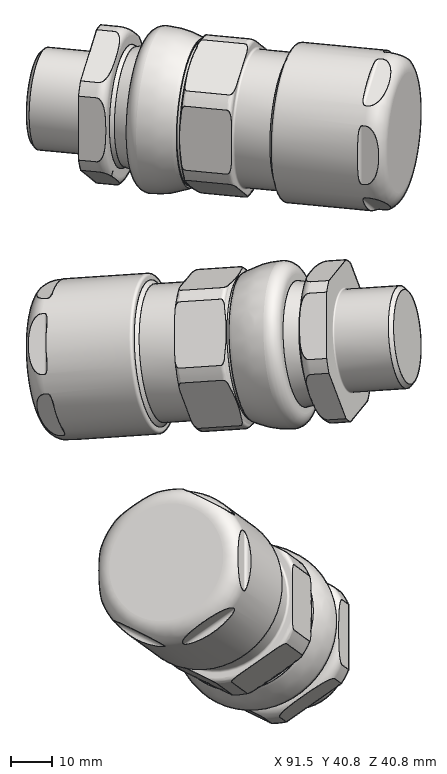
import cadquery as cq
import math


overall_length = 91.5

hex_across_flats = 36.0
hex_corner_diameter = 39.5
hex_sides = 6
hex_point_diameter = hex_across_flats / math.cos(math.pi / hex_sides)
hex_corner_radius = hex_corner_diameter / 2
flat_radius = hex_across_flats / 2

stud_radius = 25.0 / 2
stud_chamfer = 1.0
stud_base_fillet = 0.4
entry_hex_start = 14.9
entry_hex_end = 21.9
entry_hex_rounding = 2.5
groove_radius = 29.3 / 2
groove_start_radius = 30.2 / 2
groove_x = 23.0
shank_radius = 30.75 / 2

seal_start = 26.7
seal_end = 39.5
seal_max_radius = 40.8 / 2
seal_shoulder_rounding = 3.4
seal_back_x = 38.7
seal_back_radius = 18.6
seal_end_radius = 18.2

collar_radius = 17.8
middle_hex_start = 40.2
middle_hex_end = 53.3
middle_face_x = 40.6
middle_front_rounding = 1.0
middle_back_rounding = 1.1
neck_radius = 33.7 / 2
neck_base_fillet = 0.55

nut_start = 62.6
nut_lip_length = 0.9
nut_lip_rise = 1.0
nut_radius = 39.0 / 2
nut_front_rounding = 0.7
nut_end_rounding = 4.8
nut_flat_start = 85.3
nut_flat_runout = 0.8
cut_clearance = 0.9


def revolve_about_x(profile):
    """Close an outline of (x, radius) points and revolve it about the X axis."""
    return profile.close().revolve(360, (0, 0, 0), (1, 0, 0))


def arc_middle(center, radius, angle):
    """Point on a circle at an angle in degrees, used as the middle of an arc."""
    turn = math.radians(angle)
    return (center[0] + radius * math.cos(turn), center[1] + radius * math.sin(turn))


def hex_prism(start, end):
    """Sharp hexagonal prism along X with flats facing +Y and -Y."""
    return (
        cq.Workplane("YZ", origin=(start, 0, 0))
        .transformed(rotate=(0, 0, 90))
        .polygon(hex_sides, hex_point_diameter)
        .extrude(end - start)
    )


def make_entry_body():
    base_x = entry_hex_start - stud_base_fillet
    base_center = (base_x, stud_radius + stud_base_fillet)
    stud = revolve_about_x(
        cq.Workplane("XY")
        .moveTo(0, 0)
        .lineTo(0, stud_radius - stud_chamfer)
        .lineTo(stud_chamfer, stud_radius)
        .lineTo(base_x, stud_radius)
        .threePointArc(
            arc_middle(base_center, stud_base_fillet, -45),
            (entry_hex_start, stud_radius + stud_base_fillet),
        )
        .lineTo(entry_hex_start, 0)
    )

    rounding_center = (entry_hex_end - entry_hex_rounding, hex_corner_radius - entry_hex_rounding)
    hex_envelope = revolve_about_x(
        cq.Workplane("XY")
        .moveTo(entry_hex_start, 0)
        .lineTo(entry_hex_start, hex_corner_radius)
        .lineTo(rounding_center[0], hex_corner_radius)
        .threePointArc(
            arc_middle(rounding_center, entry_hex_rounding, 45),
            (entry_hex_end, rounding_center[1]),
        )
        .lineTo(entry_hex_end, 0)
    )
    hexagon = hex_prism(entry_hex_start, entry_hex_end).intersect(hex_envelope)

    shank = revolve_about_x(
        cq.Workplane("XY")
        .moveTo(entry_hex_end, 0)
        .lineTo(entry_hex_end, groove_start_radius)
        .lineTo(groove_x, groove_radius)
        .lineTo(seal_start, shank_radius)
        .lineTo(seal_end, shank_radius)
        .lineTo(seal_end, 0)
    )
    return stud.union(hexagon).union(shank)


def make_seal():
    shoulder_center = (seal_start + seal_shoulder_rounding, seal_max_radius - seal_shoulder_rounding)
    return revolve_about_x(
        cq.Workplane("XY")
        .moveTo(seal_start, shank_radius)
        .lineTo(seal_start, shoulder_center[1])
        .threePointArc(
            arc_middle(shoulder_center, seal_shoulder_rounding, 135),
            (shoulder_center[0], seal_max_radius),
        )
        .tangentArcPoint((seal_back_x, seal_back_radius), relative=False)
        .lineTo(seal_end, seal_end_radius)
        .lineTo(seal_end, shank_radius)
    )


def make_middle_body():
    collar = (
        cq.Workplane("YZ", origin=(seal_end, 0, 0))
        .circle(collar_radius)
        .extrude(middle_hex_end - seal_end)
    )

    front_center = (middle_face_x + middle_front_rounding, hex_corner_radius - middle_front_rounding)
    back_center = (middle_hex_end - middle_back_rounding, hex_corner_radius - middle_back_rounding)
    hex_envelope = revolve_about_x(
        cq.Workplane("XY")
        .moveTo(middle_hex_start, 0)
        .lineTo(middle_hex_start, collar_radius)
        .lineTo(middle_face_x, front_center[1])
        .threePointArc(
            arc_middle(front_center, middle_front_rounding, 135),
            (front_center[0], hex_corner_radius),
        )
        .lineTo(back_center[0], hex_corner_radius)
        .threePointArc(
            arc_middle(back_center, middle_back_rounding, 45),
            (middle_hex_end, back_center[1]),
        )
        .lineTo(middle_hex_end, 0)
    )
    hexagon = hex_prism(middle_hex_start, middle_hex_end).intersect(hex_envelope)

    base_center = (middle_hex_end + neck_base_fillet, neck_radius + neck_base_fillet)
    neck = revolve_about_x(
        cq.Workplane("XY")
        .moveTo(middle_hex_end, 0)
        .lineTo(middle_hex_end, base_center[1])
        .threePointArc(
            arc_middle(base_center, neck_base_fillet, 225),
            (base_center[0], neck_radius),
        )
        .lineTo(nut_start, neck_radius)
        .lineTo(nut_start, 0)
    )
    return collar.union(hexagon).union(neck)


def make_nut_flat_cutter():
    """Slab beyond one flat at the closed end of the nut, with a rounded run-out."""
    clear_radius = nut_radius + cut_clearance
    runout_center = (nut_flat_start + nut_flat_runout, flat_radius + nut_flat_runout)
    return (
        cq.Workplane("XY")
        .moveTo(nut_flat_start, clear_radius)
        .lineTo(nut_flat_start, runout_center[1])
        .threePointArc(
            arc_middle(runout_center, nut_flat_runout, 225),
            (runout_center[0], flat_radius),
        )
        .lineTo(overall_length, flat_radius)
        .lineTo(overall_length, clear_radius)
        .close()
        .extrude(nut_radius, both=True)
    )


def make_back_nut():
    face_x = nut_start + nut_lip_length
    front_center = (face_x + nut_front_rounding, nut_radius - nut_front_rounding)
    end_center = (overall_length - nut_end_rounding, nut_radius - nut_end_rounding)
    nut = revolve_about_x(
        cq.Workplane("XY")
        .moveTo(nut_start, 0)
        .lineTo(nut_start, neck_radius)
        .lineTo(face_x, neck_radius + nut_lip_rise)
        .lineTo(face_x, front_center[1])
        .threePointArc(
            arc_middle(front_center, nut_front_rounding, 135),
            (front_center[0], nut_radius),
        )
        .lineTo(end_center[0], nut_radius)
        .threePointArc(
            arc_middle(end_center, nut_end_rounding, 45),
            (overall_length, end_center[1]),
        )
        .lineTo(overall_length, 0)
    )
    cutter = make_nut_flat_cutter()
    for side in range(hex_sides):
        nut = nut.cut(cutter.rotate((0, 0, 0), (1, 0, 0), side * 360 / hex_sides))
    return nut


entry_body = make_entry_body()
seal = make_seal()
middle_body = make_middle_body()
back_nut = make_back_nut()

result = cq.Compound.makeCompound(
    [entry_body.val(), seal.val(), middle_body.val(), back_nut.val()]
)